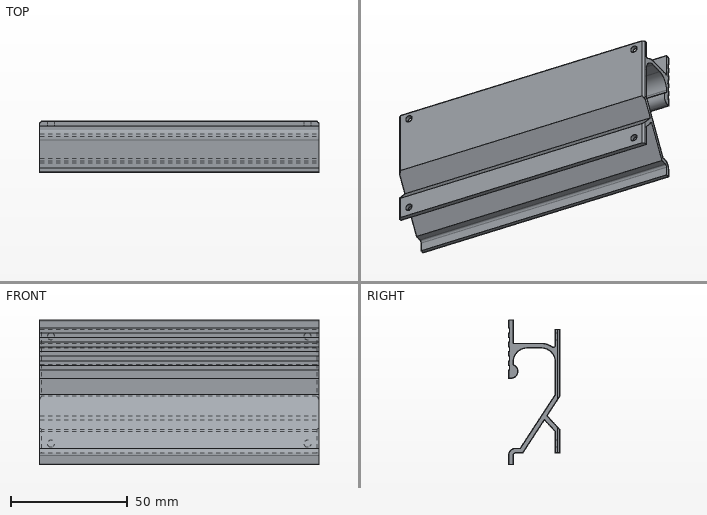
import cadquery as cq
import math

LENGTH = 120.0
DEPTH = 22.0
HEIGHT = 62.0
WALL = 2.0
EDGE_RADIUS = 0.35
BACK_INNER = DEPTH - WALL

UPPER_PLATE_TOP = 58.0
LOWER_PLATE_BOTTOM = 5.0

SHELF_TOP = 52.0
SHELF_UNDERSIDE = SHELF_TOP - WALL
HOLLOW_RADIUS = 6.0
SHELF_BEND_RADIUS = HOLLOW_RADIUS + WALL
BEND_Y = BACK_INNER - HOLLOW_RADIUS
BEND_Z = SHELF_UNDERSIDE - HOLLOW_RADIUS
ROOT_FILLET = 0.8

BEAD_RADIUS = 3.0
BEAD_Y = 1.0
BEAD_Z = 40.0
GRIP_BOTTOM = BEAD_Z - BEAD_RADIUS

GROOVE_COUNT = 5
GROOVE_WIDTH = 2.0
GROOVE_PITCH = 4.0
GROOVE_DEPTH = 0.3
FIRST_GROOVE_OFFSET = 3.5

SLOPE_TOP_Z = 30.0
LIP_TOP = 7.0
LIP_UNDERSIDE = LIP_TOP - WALL
LIP_CORNER_Y = 5.0
LIP_RADIUS = 3.0

STRUT_ANGLE = 47.0
STRUT_FOOT_Z = 15.0

HOLE_DIAMETER = 3.0
HOLE_END_DISTANCE = 5.0
UPPER_HOLE_Z = 55.0
LOWER_HOLE_Z = 9.0
END_CHAMFER = 1.0


def arc_point(center_y, center_z, radius, angle):
    """Point on a circle, with the angle in degrees from +Y towards +Z."""
    turn = math.radians(angle)
    return (center_y + radius * math.cos(turn), center_z + radius * math.sin(turn))


def extrude_profile(sketch):
    return sketch.close().extrude(LENGTH)


def make_main_profile():
    """Upper plate, shelf, front grip, sloping web and lip as one extrusion."""
    slope = math.atan2(SLOPE_TOP_Z - LIP_TOP, BACK_INNER - LIP_CORNER_Y)
    plate_miter = WALL * math.tan((math.pi / 2 - slope) / 2)
    lip_miter = WALL * math.tan(slope / 2)

    root_y = BACK_INNER - ROOT_FILLET
    root_angle = math.degrees(math.acos((root_y - BEND_Y) / (SHELF_BEND_RADIUS + ROOT_FILLET)))
    root_z = arc_point(BEND_Y, BEND_Z, SHELF_BEND_RADIUS + ROOT_FILLET, root_angle)[1]
    bead_top_z = BEAD_Z + math.sqrt(BEAD_RADIUS**2 - (WALL - BEAD_Y) ** 2)
    hollow_front_y = WALL + HOLLOW_RADIUS
    lip_inner_radius = LIP_RADIUS - WALL
    lip_center_z = LIP_TOP - LIP_RADIUS

    sketch = (
        cq.Workplane("YZ")
        .moveTo(DEPTH, UPPER_PLATE_TOP)
        .lineTo(BACK_INNER, UPPER_PLATE_TOP)
        .lineTo(BACK_INNER, root_z)
        .threePointArc(
            arc_point(root_y, root_z, ROOT_FILLET, (root_angle - 180) / 2),
            arc_point(BEND_Y, BEND_Z, SHELF_BEND_RADIUS, root_angle),
        )
        .threePointArc(
            arc_point(BEND_Y, BEND_Z, SHELF_BEND_RADIUS, (root_angle + 90) / 2),
            (BEND_Y, SHELF_TOP),
        )
        .lineTo(WALL, SHELF_TOP)
        .lineTo(WALL, HEIGHT)
        .lineTo(EDGE_RADIUS, HEIGHT)
        .threePointArc(
            arc_point(EDGE_RADIUS, HEIGHT - EDGE_RADIUS, EDGE_RADIUS, 135),
            (0, HEIGHT - EDGE_RADIUS),
        )
        .lineTo(0, GRIP_BOTTOM)
        .lineTo(BEAD_Y, GRIP_BOTTOM)
        .threePointArc((BEAD_Y + BEAD_RADIUS, BEAD_Z), (WALL, bead_top_z))
        .lineTo(WALL, BEND_Z)
        .threePointArc(
            arc_point(hollow_front_y, BEND_Z, HOLLOW_RADIUS, 135),
            (hollow_front_y, SHELF_UNDERSIDE),
        )
        .lineTo(BEND_Y, SHELF_UNDERSIDE)
        .threePointArc(arc_point(BEND_Y, BEND_Z, HOLLOW_RADIUS, 45), (BACK_INNER, BEND_Z))
        .lineTo(BACK_INNER, SLOPE_TOP_Z)
        .lineTo(LIP_CORNER_Y, LIP_TOP)
        .lineTo(LIP_RADIUS, LIP_TOP)
        .threePointArc(arc_point(LIP_RADIUS, lip_center_z, LIP_RADIUS, 135), (0, lip_center_z))
        .lineTo(0, EDGE_RADIUS)
        .threePointArc(arc_point(EDGE_RADIUS, EDGE_RADIUS, EDGE_RADIUS, 225), (EDGE_RADIUS, 0))
        .lineTo(WALL, 0)
        .lineTo(WALL, lip_center_z)
        .threePointArc(
            arc_point(LIP_RADIUS, lip_center_z, lip_inner_radius, 135),
            (LIP_RADIUS, LIP_UNDERSIDE),
        )
        .lineTo(LIP_CORNER_Y + lip_miter, LIP_UNDERSIDE)
        .lineTo(DEPTH, SLOPE_TOP_Z - plate_miter)
    )
    return extrude_profile(sketch)


def make_lower_plate():
    """Lower plate and its strut, which runs through to the front face of the sloping web."""
    angle = math.radians(STRUT_ANGLE)
    miter = WALL * math.tan((math.pi / 2 - angle) / 2)
    inner_foot_z = STRUT_FOOT_Z - miter
    slope_ratio = (SLOPE_TOP_Z - LIP_TOP) / (BACK_INNER - LIP_CORNER_Y)
    strut_ratio = math.tan(angle)

    def meet_web_face(foot_y, foot_z):
        """Point where a strut face reaches the front face of the sloping web."""
        web_z = SLOPE_TOP_Z - slope_ratio * (BACK_INNER - foot_y)
        run = (web_z - foot_z) / (slope_ratio + strut_ratio)
        return (foot_y - run, foot_z + strut_ratio * run)

    sketch = cq.Workplane("YZ").polyline(
        [
            (DEPTH, LOWER_PLATE_BOTTOM),
            (DEPTH, STRUT_FOOT_Z),
            meet_web_face(DEPTH, STRUT_FOOT_Z),
            meet_web_face(BACK_INNER, inner_foot_z),
            (BACK_INNER, inner_foot_z),
            (BACK_INNER, LOWER_PLATE_BOTTOM),
        ]
    )
    return extrude_profile(sketch)


def cut_grooves(body):
    for index in range(GROOVE_COUNT):
        groove_top = HEIGHT - FIRST_GROOVE_OFFSET - index * GROOVE_PITCH
        groove = cq.Workplane("XY").box(LENGTH, GROOVE_DEPTH, GROOVE_WIDTH, centered=False)
        body = body.cut(groove.translate((0, 0, groove_top - GROOVE_WIDTH)))
    return body


def cut_mounting_holes(body):
    for x in (HOLE_END_DISTANCE, LENGTH - HOLE_END_DISTANCE):
        for z in (UPPER_HOLE_Z, LOWER_HOLE_Z):
            drill = cq.Solid.makeCylinder(
                HOLE_DIAMETER / 2, WALL, cq.Vector(x, BACK_INNER, z), cq.Vector(0, 1, 0)
            )
            body = body.cut(cq.Workplane(drill))
    return body


def cut_end_chamfers(body):
    """Bevel the rear vertical edges at both ends of the plates."""
    for end_x, inward in ((0, 1), (LENGTH, -1)):
        wedge = (
            cq.Workplane("XY")
            .moveTo(end_x, DEPTH)
            .lineTo(end_x + inward * END_CHAMFER, DEPTH)
            .lineTo(end_x, DEPTH - END_CHAMFER)
            .close()
            .extrude(HEIGHT)
        )
        body = body.cut(wedge)
    return body


profile = make_main_profile().union(make_lower_plate())
result = cut_end_chamfers(cut_mounting_holes(cut_grooves(profile)))